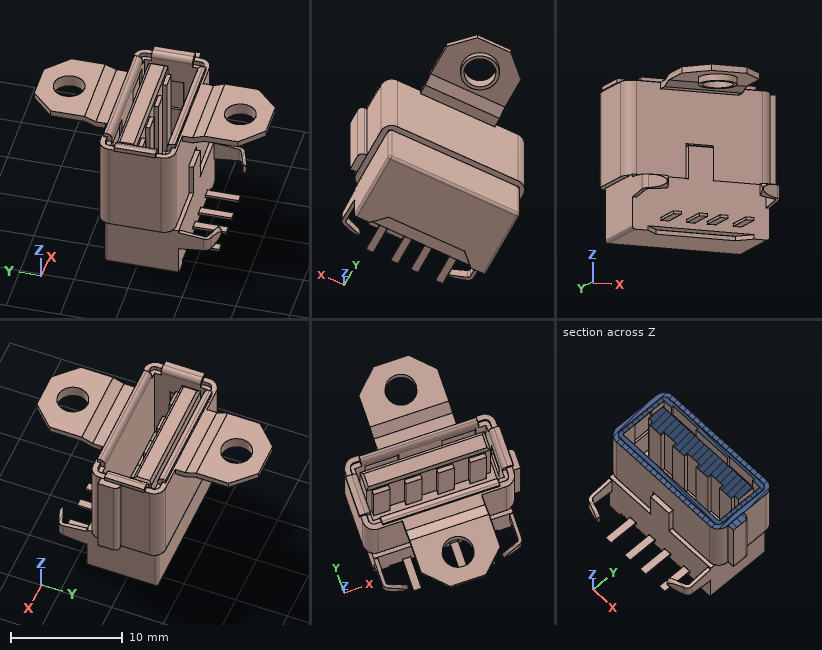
import cadquery as cq
import math

total_height = 14.2
lip_thickness = 0.4
sleeve_top = total_height - lip_thickness
sleeve_bottom = 5.05

sleeve_half_x = 7.18
sleeve_half_y = 3.53
sleeve_corner = 1.1
tab_half_width = 3.76
tab_thickness = 0.6
tab_end_y = 10.75
tab_chamfer = 2.06
tab_ramp_start = 4.5
tab_ramp_end = 5.55
tab_hole_y = 7.93
tab_hole_radius = 1.42
collar_radius = 1.75
collar_bottom = total_height - 1.2
slot_half_width = 1.3
slot_top = 8.35

shield_half_x = 6.62
shield_half_y = 2.99
shield_corner = 0.47
shield_rim = sleeve_top - 0.43
box_front_y = -3.91
box_edge_radius = 0.25
rib_half_width = 1.2
rib_top = 8.08
cavity_half_x = 6.24
cavity_half_y = 2.54
cavity_bottom = 0.4
lip_bend_radius = 0.52
end_lip_reach = 7.3
end_lip_half_length = 1.91
side_lip_reach = 3.31
side_lip_half_length = 5.57
notch_half_width = 5.12
notch_depth = 1.3
notch_height = 0.4

recess_depth = 0.22
recess_height = 3.22
back_recess_x = 3.65
back_recess_width = 3.22
back_recess_top = 13.0
end_recess_width = 2.15
end_recess_top = 11.33

leg_thickness = 0.37
leg_bend_radius = 0.62
leg_bend_y = -6.21
leg_bend_angle = math.radians(70)
leg_tip_length = 1.76
leg_middle_z = 3.9
leg_root_half_height = 0.95
leg_tip_radius = 0.62
leg_tip_y = -7.37

floor_z = sleeve_bottom
tongue_half_x = 5.9
tongue_front_y = 0.25
tongue_back_y = 2.06
tongue_top = 13.52
tongue_chamfer = 0.25
pad_count = 4
pad_pitch = 3.05
pad_width = 1.55
pad_thickness = 0.4
pad_top = 12.81
pin_places = (-3.5, -1.0, 1.0, 3.5)
pin_width = 0.77
pin_thickness = 0.25
pin_bottom = 1.0
pin_tip_y = -6.99

key_outer_x = 7.9
key_front_y = -2.3
key_back_y = -0.35
key_round = 0.47


def block(x_min, x_max, y_min, y_max, z_min, z_max):
    """Box between the given limits."""
    size = (x_max - x_min, y_max - y_min, z_max - z_min)
    return cq.Workplane("XY").box(*size, centered=False).translate((x_min, y_min, z_min))


def centred_block(half_x, half_y, z_min, z_max):
    """Box centred on the Z axis."""
    return block(-half_x, half_x, -half_y, half_y, z_min, z_max)


def mounting_tab():
    """Cranked tab on the +Y side, with clipped corners and a collared hole."""
    profile = (
        cq.Workplane("YZ")
        .moveTo(shield_half_y, sleeve_top)
        .lineTo(tab_ramp_start, sleeve_top)
        .lineTo(tab_ramp_end, total_height)
        .lineTo(tab_end_y, total_height)
        .lineTo(tab_end_y, total_height - tab_thickness)
        .lineTo(tab_ramp_end, total_height - tab_thickness)
        .lineTo(tab_ramp_start, sleeve_top - tab_thickness)
        .lineTo(shield_half_y, sleeve_top - tab_thickness)
        .close()
    )
    plate = profile.extrude(tab_half_width, both=True)
    plate = plate.edges("|Z and >Y").chamfer(tab_chamfer)
    collar = (
        cq.Workplane("XY", origin=(0, tab_hole_y, collar_bottom))
        .circle(collar_radius)
        .extrude(total_height - tab_thickness - collar_bottom)
    )
    hole = (
        cq.Workplane("XY", origin=(0, tab_hole_y, collar_bottom))
        .circle(tab_hole_radius)
        .extrude(total_height - collar_bottom)
    )
    return plate.union(collar).cut(hole)


def make_sleeve():
    """Rounded sleeve, open through its height, with a tab on each long side."""
    outside = centred_block(sleeve_half_x, sleeve_half_y, sleeve_bottom, sleeve_top)
    outside = outside.edges("|Z").fillet(sleeve_corner)
    opening = centred_block(shield_half_x, shield_half_y, sleeve_bottom, sleeve_top)
    opening = opening.edges("|Z").fillet(shield_corner)
    rib_slot = block(-slot_half_width, slot_half_width, -sleeve_half_y, 0, sleeve_bottom, slot_top)
    tab = mounting_tab()
    body = outside.union(tab).union(tab.mirror("XZ"))
    return body.cut(opening).cut(rib_slot)


def lip(wall_inner, wall_outer, reach, half_length):
    """Lip on the +X side: rises from the wall and bends outward over the sleeve."""
    diagonal = lip_bend_radius * math.sqrt(0.5)
    bend_x = wall_inner + lip_bend_radius
    bend_z = total_height - lip_bend_radius
    return (
        cq.Workplane("XZ")
        .moveTo(wall_inner, shield_rim)
        .lineTo(wall_inner, bend_z)
        .threePointArc((bend_x - diagonal, bend_z + diagonal), (bend_x, total_height))
        .lineTo(reach, total_height)
        .lineTo(reach, sleeve_top)
        .lineTo(wall_outer, sleeve_top)
        .lineTo(wall_outer, shield_rim)
        .close()
        .extrude(half_length, both=True)
    )


def make_leg():
    """Leg on the +X side: runs forward, bends inward and ends in a round tip."""
    bend_x = shield_half_x - leg_bend_radius
    inner_radius = leg_bend_radius - leg_thickness
    along_x = -math.sin(leg_bend_angle)
    along_y = -math.cos(leg_bend_angle)

    def on_bend(radius, angle):
        return (bend_x + radius * math.cos(angle), leg_bend_y - radius * math.sin(angle))

    outer_end = on_bend(leg_bend_radius, leg_bend_angle)
    inner_end = on_bend(inner_radius, leg_bend_angle)
    outer_tip = (outer_end[0] + leg_tip_length * along_x, outer_end[1] + leg_tip_length * along_y)
    inner_tip = (inner_end[0] + leg_tip_length * along_x, inner_end[1] + leg_tip_length * along_y)
    strip = (
        cq.Workplane("XY", origin=(0, 0, leg_middle_z - leg_root_half_height))
        .moveTo(shield_half_x, box_front_y)
        .lineTo(shield_half_x, leg_bend_y)
        .threePointArc(on_bend(leg_bend_radius, leg_bend_angle / 2), outer_end)
        .lineTo(*outer_tip)
        .lineTo(*inner_tip)
        .lineTo(*inner_end)
        .threePointArc(on_bend(inner_radius, leg_bend_angle / 2), on_bend(inner_radius, 0))
        .lineTo(shield_half_x - leg_thickness, box_front_y)
        .close()
        .extrude(2 * leg_root_half_height)
    )
    tip_centre_y = leg_tip_y + leg_tip_radius
    side_outline = (
        cq.Workplane("YZ")
        .moveTo(box_front_y, leg_middle_z + leg_root_half_height)
        .lineTo(tip_centre_y, leg_middle_z + leg_tip_radius)
        .threePointArc((leg_tip_y, leg_middle_z), (tip_centre_y, leg_middle_z - leg_tip_radius))
        .lineTo(box_front_y, leg_middle_z - leg_root_half_height)
        .close()
        .extrude(shield_half_x)
    )
    return strip.intersect(side_outline)


def front_notch():
    """Notch along the lower front edge, with 45 degree ends."""
    back_half_width = notch_half_width - notch_depth
    back_y = box_front_y + notch_depth
    return (
        cq.Workplane("XY")
        .moveTo(-notch_half_width, box_front_y)
        .lineTo(notch_half_width, box_front_y)
        .lineTo(back_half_width, back_y)
        .lineTo(-back_half_width, back_y)
        .close()
        .extrude(notch_height)
    )


def wall_recesses():
    """Two shallow recesses in the back wall and one in each end wall."""
    back = (
        cq.Workplane("XY")
        .pushPoints([(-back_recess_x, cavity_half_y), (back_recess_x, cavity_half_y)])
        .rect(back_recess_width, 2 * recess_depth)
        .extrude(recess_height)
        .translate((0, 0, back_recess_top - recess_height))
    )
    ends = (
        cq.Workplane("XY")
        .pushPoints([(-cavity_half_x, 0), (cavity_half_x, 0)])
        .rect(2 * recess_depth, end_recess_width)
        .extrude(recess_height)
        .translate((0, 0, end_recess_top - recess_height))
    )
    return back.union(ends)


def make_shield(pin_openings):
    """Tube with a deeper box below it, pierced where the pins come out."""
    tube = centred_block(shield_half_x, shield_half_y, sleeve_bottom, shield_rim)
    tube = tube.edges("|Z").fillet(shield_corner)
    box = block(-shield_half_x, shield_half_x, box_front_y, shield_half_y, 0, sleeve_bottom)
    box = box.edges("(|Z and >Y) or (<Z and (not <Y))").fillet(box_edge_radius)
    rib = block(-rib_half_width, rib_half_width, box_front_y, -cavity_half_y, sleeve_bottom, rib_top)
    cavity = centred_block(cavity_half_x, cavity_half_y, cavity_bottom, total_height)
    body = tube.union(box).union(rib).cut(cavity)

    end_lip = lip(cavity_half_x, shield_half_x, end_lip_reach, end_lip_half_length)
    side_lip = lip(cavity_half_y, shield_half_y, side_lip_reach, side_lip_half_length)
    for turn in (0, 180):
        body = body.union(end_lip.rotate((0, 0, 0), (0, 0, 1), turn))
        body = body.union(side_lip.rotate((0, 0, 0), (0, 0, 1), turn + 90))

    leg = make_leg()
    body = body.union(leg).union(leg.mirror("YZ"))
    return body.cut(front_notch()).cut(wall_recesses()).cut(pin_openings)


def make_pins():
    """Four flat pins that run forward from the insulator base."""
    pins = cq.Workplane("XY")
    half = pin_width / 2
    for x in pin_places:
        pin = block(x - half, x + half, pin_tip_y, -cavity_half_y, pin_bottom, pin_bottom + pin_thickness)
        pins = pins.union(pin)
    return pins


def make_pad(x):
    """Contact pad on the front of the tongue, centred at x."""
    half = pad_width / 2
    return block(x - half, x + half, tongue_front_y - pad_thickness, tongue_front_y, floor_z, pad_top)


def make_insulator(pins):
    """Base filling the bottom of the shield, with the tongue, pads and pins."""
    base = centred_block(cavity_half_x, cavity_half_y, cavity_bottom, floor_z)
    tongue = block(-tongue_half_x, tongue_half_x, tongue_front_y, tongue_back_y, floor_z, tongue_top)
    tongue = tongue.faces(">Z").edges().chamfer(tongue_chamfer)
    body = base.union(tongue).union(pins)
    for place in range(pad_count):
        x = (place - (pad_count - 1) / 2) * pad_pitch
        body = body.union(make_pad(x))
    return body


def make_key():
    """Full-height strip against the sleeve, rounded at its back corner."""
    strip = block(sleeve_half_x, key_outer_x, key_front_y, key_back_y, sleeve_bottom, sleeve_top)
    return strip.edges("|Z and >X and >Y").fillet(key_round)


pins = make_pins()
sleeve = make_sleeve()
shield = make_shield(pins)
insulator = make_insulator(pins)
key = make_key()

result = cq.Compound.makeCompound([sleeve.val(), shield.val(), insulator.val(), key.val()])